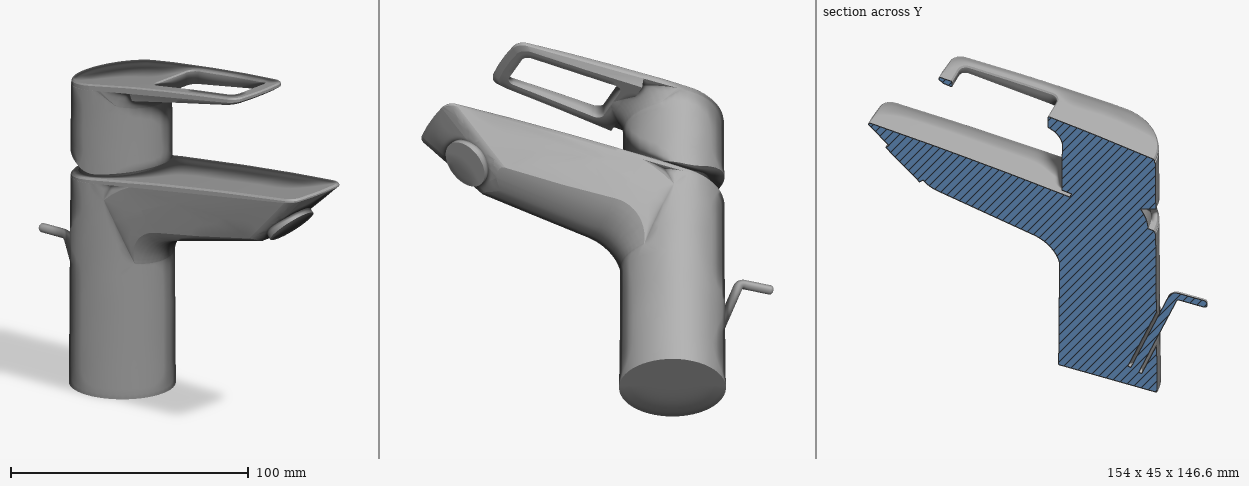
import cadquery as cq
import math


BASE_RADIUS = 22.5
NECK_RADIUS = 21.7
REAR_RIM_HEIGHT = 92.7
SPOUT_TIP_X = 108.9
SPOUT_TIP_HEIGHT = 108.9
SPOUT_TOP_BULGE = 1.4
SPOUT_TIP_HALF_WIDTH = 16.3
SPOUT_TIP_BOW = 1.2
SPOUT_CORNER_RADIUS = 5.4
SPOUT_EDGE_HEIGHT = 1.4
SPOUT_TIP_SLOPE = 43.0
SPOUT_NARROWING = 10.0
SPOUT_NARROWING_LENGTH = 64.7
SPOUT_BELLY_SLOPE = 12.6
SPOUT_BELLY_START = 68.0
SPOUT_THROAT_RADIUS = 15.4
SPOUT_HEEL_RADIUS = 12.3
SPOUT_EDGE_CHAMFER = 0.8

AERATOR_DIAMETER = 21.3
AERATOR_CENTRE = (93.3, 90.0)
AERATOR_LENGTH = 6.2

BALL_RADIUS = 18.5
BALL_HEIGHT = 92.4

LEVER_CENTRE_X = -0.5
LEVER_BOTTOM_RADIUS = 21.5
LEVER_TOP_RADIUS = 21.1
LEVER_REAR_HEIGHT = 134.0
LEVER_TIP_X = 76.9
LEVER_TIP_HEIGHT = 146.6
LEVER_TOP_BULGE = 1.4
LEVER_TIP_HALF_WIDTH = 16.0
LEVER_TIP_BOW = 1.2
LEVER_CORNER_RADIUS = 5.2
LEVER_EDGE_HEIGHT = 1.7
LEVER_EDGE_CHAMFER = 0.6
LEVER_TIP_SLOPE = 35.0
LEVER_NARROWING = 10.0
LEVER_NARROWING_LENGTH = 24.6
LEVER_BELLY_SLOPE = 9.7
LEVER_BELLY_START = 134.1
LEVER_THROAT_RADIUS = 9.2

SKIRT_REAR_HEIGHT = 105.7
SKIRT_RIDGE = (-1.4, 97.8)
SKIRT_FRONT_HEIGHT = 101.2
SKIRT_RIDGE_ROUND = 18.5

WINDOW_REAR_X = 27.3
WINDOW_FRONT_X = 70.7
WINDOW_REAR_HALF_WIDTH = 13.1
WINDOW_FRONT_HALF_WIDTH = 10.8
WINDOW_CORNER_RADIUS = 3.4

ROD_DIAMETER = 4.0
ROD_TIP_X = -45.1
ROD_TIP_ROUND = 1.4
ROD_HEIGHT = 58.8
ROD_BEND_X = -30.2
ROD_BEND_RADIUS = 3.1
ROD_LEAN = 20.0
ROD_LEG_LENGTH = 58.5
ROD_HOLE_DIAMETER = 6.5
ROD_HOLE_DEPTH = 52.4

TOP_FACE_MIN_NORMAL_Z = 0.5
REACH = 154.0


def direction(angle):
    """Unit vector in the XZ plane, angle in degrees up from +X."""
    return cq.Vector(math.cos(math.radians(angle)), 0, math.sin(math.radians(angle)))


def cone(bottom_radius, top_radius, bottom, top, centre_x):
    base = cq.Vector(centre_x, 0, bottom)
    return cq.Workplane(cq.Solid.makeCone(bottom_radius, top_radius, top - bottom, base))


def region_below(profile, tip):
    """Everything below an open XZ profile that ends at the tip, inside the working space."""
    return (
        profile.lineTo(REACH, tip[1]).lineTo(REACH, 0).lineTo(-REACH, 0)
        .close().extrude(REACH, both=True)
    )


def make_cap(upper, rear, tip, bulge, chamfer):
    """Upright-edged cap of an arm under its gently arched, chamfered top surface."""
    middle = ((rear[0] + tip[0]) / 2, (rear[1] + tip[1]) / 2 + bulge)
    arch = cq.Workplane("XZ").moveTo(-REACH, rear[1]).lineTo(*rear).threePointArc(middle, tip)
    cap = upper.intersect(region_below(arch, tip))
    top_faces = [face for face in cap.faces().vals() if face.normalAt().z > TOP_FACE_MIN_NORMAL_Z]
    return cap.newObject(top_faces).edges().chamfer(chamfer)


def trim_post(post, rear, tip, edge_height):
    """Post cut off along the straight lower rim of its cap."""
    rim_rear = (rear[0], rear[1] - edge_height)
    rim_tip = (tip[0], tip[1] - edge_height)
    rim = cq.Workplane("XZ").moveTo(-REACH, rim_rear[1]).lineTo(*rim_rear).lineTo(*rim_tip)
    return post.intersect(region_below(rim, rim_tip))


def arm_outline(plane, radius, centre, length, half_width, bow, corner):
    """Wire with a round back, straight converging sides and a bowed tip with round corners."""
    outline = (
        cq.Workplane(plane).moveTo(centre, radius)
        .threePointArc((centre - radius, 0), (centre, -radius))
        .lineTo(length - bow, -half_width)
        .threePointArc((length, 0), (length - bow, half_width))
        .close()
    )
    face = cq.Face.makeFromWires(outline.val())
    corners = [v for v in face.Vertices() if plane.toLocalCoords(v.Center()).x > length / 2]
    return face.fillet2D(corner, corners).outerWire()


def arm_plan(rear, tip, edge_height, radius, centre_x, half_width, bow, corner, tip_slope,
             narrowing, narrowing_length):
    """Plan shape of an arm: an upright edge on top, and a part narrowing down the tip slope."""
    pitch = math.degrees(math.atan2(tip[1] - rear[1], tip[0] - rear[0]))
    along = direction(pitch)
    rim_origin = cq.Vector(rear[0], 0, rear[1] - edge_height)
    low_origin = rim_origin - direction(tip_slope) * narrowing_length
    centre = (centre_x - rear[0]) / along.x
    length = (tip[0] - rear[0]) / along.x
    rim_plane = cq.Plane(rim_origin, along, direction(pitch + 90))
    low_plane = cq.Plane(low_origin, along, direction(pitch + 90))
    rim = arm_outline(rim_plane, radius, centre, length, half_width, bow, corner)
    low = arm_outline(low_plane, radius, centre, length, half_width - narrowing, bow, corner)
    upper = cq.Solid.extrudeLinear(rim, [], cq.Vector(0, 0, REACH))
    lower = cq.Solid.makeLoft([low, rim], True)
    return cq.Workplane(upper), cq.Workplane(lower)


def elbow(radius, centre_x, belly_start, belly_slope, throat_radius):
    """Round bar rising with the column and bending forward along the arm's underside."""
    turn = math.radians(90 - belly_slope)
    bend_radius = throat_radius + radius
    bend_start = belly_start - throat_radius * math.tan(turn / 2)
    hub = cq.Vector(centre_x + bend_radius, 0, bend_start)
    middle = hub + direction(180 - math.degrees(turn) / 2) * bend_radius
    bend_end = hub + direction(180 - math.degrees(turn)) * bend_radius
    bar_end = bend_end + direction(belly_slope) * REACH
    path = (
        cq.Workplane("XZ").moveTo(centre_x, bend_start)
        .threePointArc((middle.x, middle.z), (bend_end.x, bend_end.z))
        .lineTo(bar_end.x, bar_end.z)
    )
    return cq.Workplane("XY", origin=(centre_x, 0, bend_start)).circle(radius).sweep(path)


def above_heel():
    """Everything above the spout's underside and its sloping tip face, rounded where they meet."""
    belly_tangent = math.tan(math.radians(SPOUT_BELLY_SLOPE))
    tip_tangent = math.tan(math.radians(SPOUT_TIP_SLOPE))
    tip_bottom = SPOUT_TIP_HEIGHT - SPOUT_EDGE_HEIGHT
    belly_at_axis = SPOUT_BELLY_START - NECK_RADIUS * belly_tangent
    tip_line_at_axis = tip_bottom - SPOUT_TIP_X * tip_tangent
    heel_x = (belly_at_axis - tip_line_at_axis) / (tip_tangent - belly_tangent)
    round_start = heel_x - SPOUT_HEEL_RADIUS
    heel = (heel_x, belly_at_axis + heel_x * belly_tangent)
    return (
        cq.Workplane("XZ").moveTo(*heel).lineTo(SPOUT_TIP_X, tip_bottom).lineTo(SPOUT_TIP_X, REACH)
        .lineTo(-REACH, REACH).lineTo(-REACH, 0).lineTo(round_start, 0)
        .lineTo(round_start, belly_at_axis + round_start * belly_tangent)
        .close().extrude(REACH, both=True)
        .edges(cq.selectors.NearestToPointSelector((heel[0], 0, heel[1])))
        .fillet(SPOUT_HEEL_RADIUS)
    )


def make_body():
    rear = (-NECK_RADIUS, REAR_RIM_HEIGHT)
    tip = (SPOUT_TIP_X, SPOUT_TIP_HEIGHT)
    upper, lower = arm_plan(
        rear, tip, SPOUT_EDGE_HEIGHT, NECK_RADIUS, 0, SPOUT_TIP_HALF_WIDTH,
        SPOUT_TIP_BOW, SPOUT_CORNER_RADIUS, SPOUT_TIP_SLOPE, SPOUT_NARROWING, SPOUT_NARROWING_LENGTH,
    )
    bar = elbow(NECK_RADIUS, 0, SPOUT_BELLY_START, SPOUT_BELLY_SLOPE, SPOUT_THROAT_RADIUS)
    spout = bar.intersect(lower)
    spout = spout.intersect(above_heel())
    column = cone(BASE_RADIUS, NECK_RADIUS, 0, SPOUT_TIP_HEIGHT, 0)
    column = trim_post(column, rear, tip, SPOUT_EDGE_HEIGHT)
    cap = make_cap(upper, rear, tip, SPOUT_TOP_BULGE, SPOUT_EDGE_CHAMFER)
    return column.union(spout).union(cap)


def make_aerator():
    outlet = cq.Vector(AERATOR_CENTRE[0], 0, AERATOR_CENTRE[1])
    inward = direction(SPOUT_TIP_SLOPE + 90)
    return cq.Workplane(cq.Solid.makeCylinder(AERATOR_DIAMETER / 2, AERATOR_LENGTH, outlet, inward))


def make_window():
    return (
        cq.Workplane("XY")
        .polyline([
            (WINDOW_REAR_X, -WINDOW_REAR_HALF_WIDTH),
            (WINDOW_FRONT_X, -WINDOW_FRONT_HALF_WIDTH),
            (WINDOW_FRONT_X, WINDOW_FRONT_HALF_WIDTH),
            (WINDOW_REAR_X, WINDOW_REAR_HALF_WIDTH),
        ])
        .close().extrude(REACH).edges("|Z").fillet(WINDOW_CORNER_RADIUS)
        .intersect(cq.Workplane("XY", origin=(0, 0, LEVER_REAR_HEIGHT)).box(2 * REACH, REACH, REACH))
    )


def make_lever():
    rear = (LEVER_CENTRE_X - LEVER_TOP_RADIUS, LEVER_REAR_HEIGHT)
    tip = (LEVER_TIP_X, LEVER_TIP_HEIGHT)
    upper, lower = arm_plan(
        rear, tip, LEVER_EDGE_HEIGHT, LEVER_TOP_RADIUS, LEVER_CENTRE_X, LEVER_TIP_HALF_WIDTH,
        LEVER_TIP_BOW, LEVER_CORNER_RADIUS, LEVER_TIP_SLOPE, LEVER_NARROWING, LEVER_NARROWING_LENGTH,
    )
    bar = elbow(
        LEVER_TOP_RADIUS, LEVER_CENTRE_X, LEVER_BELLY_START, LEVER_BELLY_SLOPE, LEVER_THROAT_RADIUS,
    )
    post = cone(LEVER_BOTTOM_RADIUS, LEVER_TOP_RADIUS, BALL_HEIGHT, LEVER_TIP_HEIGHT, LEVER_CENTRE_X)
    plate_start = LEVER_CENTRE_X + LEVER_TOP_RADIUS
    belly_end = cq.Vector(plate_start, 0, LEVER_BELLY_START) + direction(LEVER_BELLY_SLOPE) * REACH
    above_belly = (
        cq.Workplane("XZ").moveTo(plate_start, LEVER_BELLY_START).lineTo(belly_end.x, belly_end.z)
        .lineTo(plate_start, belly_end.z).close().extrude(REACH, both=True)
    )
    plate = lower.intersect(above_belly)
    post = trim_post(post, rear, tip, LEVER_EDGE_HEIGHT)
    cap = make_cap(upper.cut(make_window()), rear, tip, LEVER_TOP_BULGE, LEVER_EDGE_CHAMFER)
    lever = post.union(bar.intersect(lower)).union(plate).union(cap)
    skirt_rear = LEVER_CENTRE_X - LEVER_BOTTOM_RADIUS
    skirt_front = LEVER_CENTRE_X + LEVER_BOTTOM_RADIUS
    below_skirt = (
        cq.Workplane("XZ").moveTo(skirt_rear, SKIRT_REAR_HEIGHT).lineTo(*SKIRT_RIDGE)
        .lineTo(skirt_front, SKIRT_FRONT_HEIGHT).lineTo(skirt_front, 0).lineTo(skirt_rear, 0)
        .close().extrude(REACH, both=True)
        .edges(cq.selectors.NearestToPointSelector((SKIRT_RIDGE[0], 0, SKIRT_RIDGE[1])))
        .fillet(SKIRT_RIDGE_ROUND)
    )
    return lever.cut(below_skirt).cut(make_window())


def make_rod():
    bend = cq.Vector(ROD_BEND_X, 0, ROD_HEIGHT)
    leg = direction(ROD_LEAN - 90)
    turn = 90 - ROD_LEAN
    setback = ROD_BEND_RADIUS * math.tan(math.radians(turn / 2))
    bend_start = bend - direction(0) * setback
    bend_end = bend + leg * setback
    leg_end = bend + leg * ROD_LEG_LENGTH
    hub = bend_start - direction(90) * ROD_BEND_RADIUS
    bend_middle = hub + direction(90 - turn / 2) * ROD_BEND_RADIUS
    path = (
        cq.Workplane("XZ").moveTo(ROD_TIP_X, ROD_HEIGHT).lineTo(bend_start.x, ROD_HEIGHT)
        .threePointArc((bend_middle.x, bend_middle.z), (bend_end.x, bend_end.z))
        .lineTo(leg_end.x, leg_end.z)
    )
    rod = cq.Workplane("YZ", origin=(ROD_TIP_X, 0, ROD_HEIGHT)).circle(ROD_DIAMETER / 2).sweep(path)
    return rod.faces("<X").edges().fillet(ROD_TIP_ROUND)


def make_rod_hole():
    bend = cq.Vector(ROD_BEND_X, 0, ROD_HEIGHT)
    leg = direction(ROD_LEAN - 90)
    return cq.Workplane(cq.Solid.makeCylinder(ROD_HOLE_DIAMETER / 2, ROD_HOLE_DEPTH, bend, leg))


ball = cq.Workplane("XY").sphere(BALL_RADIUS).translate((0, 0, BALL_HEIGHT))

result = (
    make_body()
    .union(make_aerator())
    .cut(make_rod_hole())
    .union(make_rod())
    .union(ball)
    .union(make_lever())
)